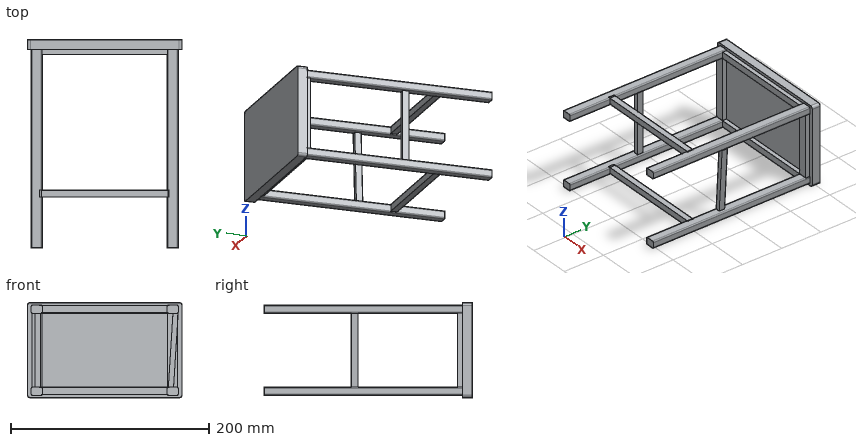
import cadquery as cq
top_length = 156.0
top_width = 96.0
top_thickness = 10.0
top_corner_radius = 3.0
total_height = 210.0

leg_length = total_height - top_thickness
leg_size_x = 11.1
leg_size_z = 8.5
leg_edge_radius = 1.3
leg_outer_x = 74.1
leg_outer_z = 45.5
leg_inner_z = leg_outer_z - leg_size_z
leg_center_x = leg_outer_x - leg_size_x / 2
leg_center_z = leg_outer_z - leg_size_z / 2

apron_height = 5.0
side_apron_outer_x = 73.5
side_apron_inner_x = 63.5
long_apron_outer_z = 44.7
long_apron_inner_z = leg_inner_z

long_stretcher_y = 51.2
long_stretcher_height = 7.0
long_stretcher_depth = 7.1
long_stretcher_inset = 0.2
long_stretcher_left = -65.7
long_stretcher_right = 64.7

side_stretcher_y = 87.8
side_stretcher_height = 7.0
side_stretcher_width = 5.2
left_stretcher_x = -67.6
right_stretcher_bottom_x = 66.8
right_stretcher_top_x = 71.5


def box_between(x_range, y_range, z_range):
    """Axis-aligned box given by its limits along each axis."""
    x_min, x_max = x_range
    y_min, y_max = y_range
    z_min, z_max = z_range
    return cq.Workplane("XY").box(
        x_max - x_min, y_max - y_min, z_max - z_min, centered=False
    ).translate((x_min, y_min, z_min))


def make_top():
    """Table top with rounded corners."""
    plate = box_between(
        (-top_length / 2, top_length / 2),
        (leg_length, total_height),
        (-top_width / 2, top_width / 2),
    )
    return plate.edges("|Y").fillet(top_corner_radius)


def make_leg(side_x, side_z):
    """One leg with rounded long edges, in the corner given by the two signs."""
    leg = cq.Workplane("XY").box(leg_size_x, leg_length, leg_size_z)
    leg = leg.edges("|Y").fillet(leg_edge_radius)
    return leg.translate((side_x * leg_center_x, leg_length / 2, side_z * leg_center_z))


def make_aprons():
    """Four rails against the underside of the table top, reaching into the legs."""
    heights = (leg_length - apron_height, leg_length)
    long_span = (-leg_center_x, leg_center_x)
    side_span = (-leg_center_z, leg_center_z)
    long_apron = box_between(long_span, heights, (long_apron_inner_z, long_apron_outer_z))
    side_apron = box_between((side_apron_inner_x, side_apron_outer_x), heights, side_span)
    return [
        long_apron,
        long_apron.mirror("XY"),
        side_apron,
        side_apron.mirror("YZ"),
    ]


def make_long_stretcher(top_z):
    """Stretcher along X whose +Z face lies at top_z."""
    return box_between(
        (long_stretcher_left, long_stretcher_right),
        (long_stretcher_y, long_stretcher_y + long_stretcher_height),
        (top_z - long_stretcher_depth, top_z),
    )


def make_side_stretcher(bottom_x, top_x):
    """Stretcher along Z whose center line leads from bottom_x to top_x."""
    half_width = side_stretcher_width / 2
    outline = [
        (bottom_x - half_width, -leg_inner_z),
        (bottom_x + half_width, -leg_inner_z),
        (top_x + half_width, leg_inner_z),
        (top_x - half_width, leg_inner_z),
    ]
    stretcher = cq.Workplane("XZ").polyline(outline).close().extrude(-side_stretcher_height)
    return stretcher.translate((0, side_stretcher_y, 0))


def make_frame(long_stretchers):
    """Table top, aprons and legs in one piece, with sockets for the long stretchers."""
    frame = make_top()
    for side_x in (-1, 1):
        for side_z in (-1, 1):
            frame = frame.union(make_leg(side_x, side_z))
    for apron in make_aprons():
        frame = frame.union(apron)
    for stretcher in long_stretchers:
        frame = frame.cut(stretcher)
    return frame


long_stretchers = [
    make_long_stretcher(leg_face_z - long_stretcher_inset)
    for leg_face_z in (leg_outer_z, -leg_inner_z)
]
left_stretcher = make_side_stretcher(left_stretcher_x, left_stretcher_x)
right_stretcher = make_side_stretcher(right_stretcher_bottom_x, right_stretcher_top_x)
frame = make_frame(long_stretchers)

result = cq.Compound.makeCompound([
    frame.val(),
    *[stretcher.val() for stretcher in long_stretchers],
    left_stretcher.val(),
    right_stretcher.val(),
])